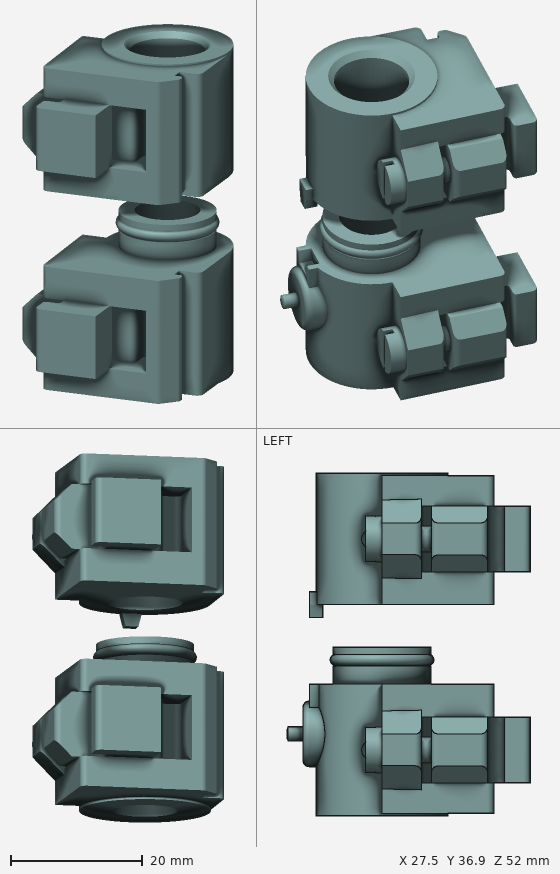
import cadquery as cq
import math


total_height = 52.0
module_height = 19.95
upper_base = total_height - module_height
mid_height = module_height / 2

barrel_dia = 20.0
barrel_radius = barrel_dia / 2
cap_height = 0.35
block_height = module_height - cap_height
left_x = -14.0
left_draft = 0.3
front_y = -17.0
edge_radius = 1.0

lip_y = -11.0
hook_notch_x = 6.5
nose_x = 8.0
nose_top_y = -13.0
nose_radius = 0.7
slant_end_x = 5.5

ear_left_x = -17.5
ear_y = -6.0
ear_half_height = 5.95

slot_height = 10.0
slot_right_x = 3.5
wedge_angle = 30.0
step_x = 0.0
step_y = -13.0
pocket_y = -9.0

clamp_top_y = -7.5
clamp_front_y = -16.0
clamp_shoulder_x = -15.0
stem_left_x = -10.0
stem_right_x = -2.5
foot_y = -22.5
hook_left_x = -12.6
hook_top_y = -18.6
small_radius = 0.5

screw_x = -13.5
head_dia = 6.95
head_height = 2.5
head_clearance_dia = 8.0
shank_dia = 4.0
tip_dia = 3.2
driver_slot_width = 1.0
driver_slot_depth = 1.5

upper_bore_dia = 11.45
upper_bore_chamfer = 0.9
tongue_width = 3.0
tongue_tip_width = 2.0
tongue_length = 2.0
key_inner_y = 9.0
key_outer_y = 11.0

lower_bore_dia = 10.0
spigot_dia = 14.9
spigot_height = 5.6
groove_dia = 14.1
groove_bottom = 2.75
groove_height = 1.75
ring_radius = 0.85

plug_dia = 10.0
plug_height = 12.45
plug_end_y = 12.0
pin_dia = 2.2
pin_end_y = 14.4
pin_chamfer_length = 0.4
pin_chamfer_depth = 0.15
lug_width = 6.0
key_notch_width = 4.0


def cylinder_along_y(diameter, x, z, start_y, end_y):
    """Cylinder with its axis along +Y."""
    start = cq.Vector(x, start_y, z)
    return cq.Workplane(cq.Solid.makeCylinder(diameter / 2, end_y - start_y, start, cq.Vector(0, 1, 0)))


def block_between(x_min, x_max, y_min, y_max, z_min, z_max):
    """Axis-aligned block given by its limits."""
    size = (x_max - x_min, y_max - y_min, z_max - z_min)
    return cq.Workplane(cq.Solid.makeBox(*size, cq.Vector(x_min, y_min, z_min)))


def disc(diameter, bottom, height):
    """Upright cylinder on the pipe axis."""
    return cq.Workplane("XY", origin=(0, 0, bottom)).circle(diameter / 2).extrude(height)


def fillet_corner(body, x, y, radius):
    """Round the vertical edge that passes through (x, y)."""
    reach = 0.025
    corner = cq.selectors.BoxSelector(
        (x - reach, y - reach, -total_height), (x + reach, y + reach, total_height), boundingbox=False
    )
    return body.edges("|Z").edges(corner).fillet(radius)


def wedge_x(y):
    """X of the slanted contact plane between clamp and housing, at the given y."""
    return stem_right_x - (y - clamp_front_y) * math.tan(math.radians(wedge_angle))


def make_block(bottom):
    """Housing block with the barrel's outline at the back and the rail hook at the right."""
    slant_start_y = front_y + nose_x - slant_end_x
    left_front_x = left_x + left_draft
    outline = [
        (0, 0),
        (left_x, 0),
        (left_front_x, front_y),
        (slant_end_x, front_y),
        (nose_x, slant_start_y),
        (nose_x, nose_top_y),
        (hook_notch_x, nose_top_y),
        (hook_notch_x, lip_y),
        (barrel_radius, lip_y),
        (barrel_radius, 0),
    ]
    block = cq.Workplane("XY", origin=(0, 0, bottom)).polyline(outline).close().extrude(block_height)
    block = fillet_corner(block, left_front_x, front_y, edge_radius)
    block = fillet_corner(block, slant_end_x, front_y, edge_radius)
    block = fillet_corner(block, nose_x, slant_start_y, nose_radius)
    block = fillet_corner(block, nose_x, nose_top_y, nose_radius)
    block = fillet_corner(block, barrel_radius, lip_y, edge_radius)
    return block.union(disc(barrel_dia, 0, module_height))


def make_ear():
    """Ear on the left side that carries the screw, with 45 degree flanks."""
    root_x = left_x + left_draft
    flat_half_height = ear_half_height - (left_x - ear_left_x)
    root_half_height = flat_half_height + root_x - ear_left_x
    ear = (
        cq.Workplane("XZ")
        .polyline([
            (root_x, mid_height - root_half_height),
            (ear_left_x, mid_height - flat_half_height),
            (ear_left_x, mid_height + flat_half_height),
            (root_x, mid_height + root_half_height),
        ])
        .close()
        .extrude(-ear_y)
    )
    return fillet_corner(ear, ear_left_x, ear_y, edge_radius)


def make_slot():
    """Cutter for the clamp's slot: a wedge wall on the left, a deeper pocket on the right."""
    open_x = ear_left_x
    open_y = foot_y
    outline = [
        (open_x, open_y),
        (open_x, ear_y),
        (wedge_x(ear_y), ear_y),
        (wedge_x(step_y), step_y),
        (step_x, step_y),
        (step_x, pocket_y),
        (slot_right_x, pocket_y),
        (slot_right_x, open_y),
    ]
    bottom = mid_height - slot_height / 2
    slot = cq.Workplane("XY", origin=(0, 0, bottom)).polyline(outline).close().extrude(slot_height)
    for x, y in [(wedge_x(ear_y), ear_y), (step_x, step_y), (step_x, pocket_y), (slot_right_x, pocket_y)]:
        slot = fillet_corner(slot, x, y, edge_radius)
    return slot


def make_housing(bottom):
    """Housing features common to both modules; the block starts at the given height."""
    head_recess = cylinder_along_y(head_clearance_dia, screw_x, mid_height, 0, barrel_radius)
    screw_hole = cylinder_along_y(shank_dia, screw_x, mid_height, clamp_top_y, 0)
    housing = make_block(bottom).union(make_ear())
    return housing.cut(make_slot()).cut(head_recess).cut(screw_hole)


def make_upper_housing():
    """Housing with a plain chamfered bore and a tapered tongue below its back edge."""
    bore = disc(upper_bore_dia, 0, module_height)
    countersink = cq.Workplane(
        cq.Solid.makeCone(
            upper_bore_dia / 2,
            upper_bore_dia / 2 + upper_bore_chamfer,
            upper_bore_chamfer,
            cq.Vector(0, 0, module_height - upper_bore_chamfer),
        )
    )
    tongue = (
        cq.Workplane("XZ", origin=(0, key_outer_y, 0))
        .polyline([
            (-tongue_width / 2, tongue_length),
            (-tongue_width / 2, 0),
            (-tongue_tip_width / 2, -tongue_length),
            (tongue_tip_width / 2, -tongue_length),
            (tongue_width / 2, 0),
            (tongue_width / 2, tongue_length),
        ])
        .close()
        .extrude(key_outer_y - key_inner_y)
    )
    return make_housing(0).union(tongue).cut(bore).cut(countersink)


def make_spigot():
    """Spigot on top of the lower housing, with its seal ring in a groove."""
    groove_z = module_height + groove_bottom
    ring_z = groove_z + groove_height - ring_radius
    groove = disc(spigot_dia, groove_z, groove_height).cut(disc(groove_dia, groove_z, groove_height))
    ring = (
        cq.Workplane("XZ")
        .moveTo(groove_dia / 2, ring_z - ring_radius)
        .threePointArc((groove_dia / 2 + ring_radius, ring_z), (groove_dia / 2, ring_z + ring_radius))
        .close()
        .revolve(360, (0, 0), (0, 1))
    )
    return disc(spigot_dia, mid_height, mid_height + spigot_height).cut(groove).union(ring)


def make_plug():
    """Round plug at the back with a rounded rim and a thin pin."""
    plug = cylinder_along_y(plug_dia, 0, plug_height, barrel_radius / 2, plug_end_y)
    plug = plug.faces(">Y").edges().fillet(edge_radius)
    pin = cylinder_along_y(pin_dia, 0, plug_height, barrel_radius, pin_end_y)
    pin = pin.faces(">Y").chamfer(pin_chamfer_depth, pin_chamfer_length)
    return plug.union(pin)


def make_key_notch():
    """Tapered cutter that leaves room for the upper housing's tongue."""
    return (
        cq.Workplane("XZ", origin=(0, key_outer_y, 0))
        .polyline([
            (-key_notch_width / 2, module_height),
            (-tongue_width / 2, module_height - tongue_length),
            (tongue_width / 2, module_height - tongue_length),
            (key_notch_width / 2, module_height),
        ])
        .close()
        .extrude(key_outer_y - key_inner_y)
    )


def make_lower_housing():
    """Housing with a spigot on top, and a plug and a notched lug at the back."""
    half_lug = lug_width / 2
    lug = block_between(-half_lug, half_lug, barrel_radius / 2, key_outer_y, plug_height, module_height)
    bore = disc(lower_bore_dia, 0, module_height + spigot_height)
    housing = make_housing(cap_height).union(lug.cut(make_key_notch())).union(make_plug())
    return housing.cut(make_key_notch()).union(make_spigot()).cut(bore)


def make_clamp():
    """Clamp with a chamfered block on the left, a wedge face on the right and a hooked foot."""
    outline = [
        (ear_left_x, clamp_top_y),
        (wedge_x(clamp_top_y), clamp_top_y),
        (stem_right_x, clamp_front_y),
        (stem_right_x, foot_y),
        (hook_left_x, foot_y),
        (hook_left_x, hook_top_y),
        (stem_left_x, hook_top_y),
        (stem_left_x, clamp_front_y),
        (ear_left_x, clamp_front_y),
    ]
    bottom = mid_height - slot_height / 2
    clamp = cq.Workplane("XY", origin=(0, 0, bottom)).polyline(outline).close().extrude(slot_height)
    clamp = fillet_corner(clamp, hook_left_x, foot_y, edge_radius)
    clamp = fillet_corner(clamp, hook_left_x, hook_top_y, small_radius)
    clamp = fillet_corner(clamp, stem_left_x, hook_top_y, small_radius)
    clamp = fillet_corner(clamp, stem_left_x, clamp_front_y, edge_radius)
    clamp = fillet_corner(clamp, ear_left_x, clamp_top_y, edge_radius)
    clamp = fillet_corner(clamp, ear_left_x, clamp_front_y, edge_radius)

    chamfer = clamp_shoulder_x - ear_left_x
    for side in (-1, 1):
        face_z = mid_height + side * slot_height / 2
        flank = (
            cq.Workplane("XZ", origin=(0, clamp_top_y, 0))
            .polyline([
                (ear_left_x, face_z),
                (clamp_shoulder_x, face_z),
                (ear_left_x, face_z - side * chamfer),
            ])
            .close()
            .extrude(clamp_top_y - clamp_front_y)
        )
        clamp = clamp.cut(flank)
    return clamp.cut(cylinder_along_y(tip_dia, screw_x, mid_height, clamp_front_y, clamp_top_y))


def make_screw():
    """Slotted screw: head above the ear, shank through it and tip through the clamp."""
    half_slot = driver_slot_width / 2
    driver_slot = block_between(
        screw_x - half_slot,
        screw_x + half_slot,
        head_height - driver_slot_depth,
        head_height,
        0,
        module_height,
    )
    head = cylinder_along_y(head_dia, screw_x, mid_height, 0, head_height).cut(driver_slot)
    shank = cylinder_along_y(shank_dia, screw_x, mid_height, clamp_top_y, 0)
    tip = cylinder_along_y(tip_dia, screw_x, mid_height, clamp_front_y, clamp_top_y)
    return head.union(shank).union(tip)


lower_housing = make_lower_housing()
upper_housing = make_upper_housing().translate((0, 0, upper_base))

clamps = []
screws = []
for base in (0, upper_base):
    clamps.append(make_clamp().translate((0, 0, base)).val())
    screws.append(make_screw().translate((0, 0, base)).val())

result = cq.Compound.makeCompound([lower_housing.val(), upper_housing.val(), *clamps, *screws])